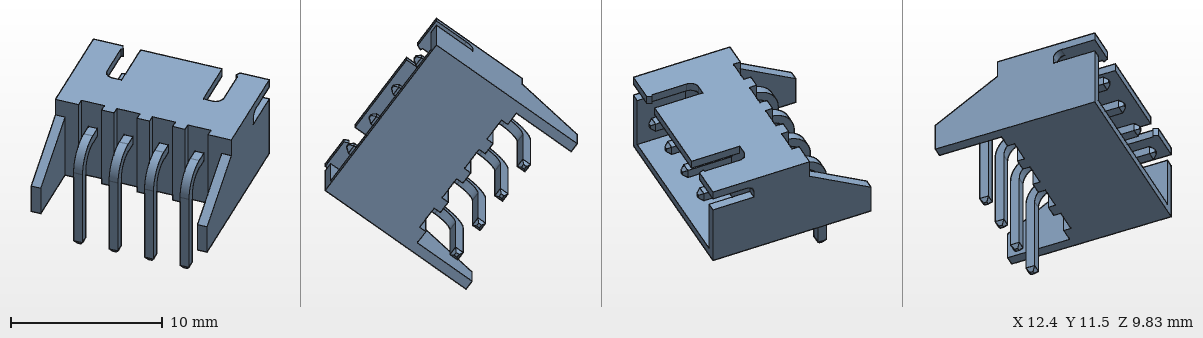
import cadquery as cq
import math


housing_width = 12.4
housing_depth = 7.02
housing_height = 6.1
wall = 0.61

wing_thickness = 0.68
wing_length = 4.48
wing_rear_height = 2.11
wing_front_height = 4.81

pin_count = 4
pin_row_length = 7.5
pin_pitch = pin_row_length / (pin_count - 1)
pin_width = 0.63
pin_axis_height = 3.76
pin_drop_setback = 1.91
pin_bend_radius = 1.56
pin_front_gap = 0.04
pin_bottom = -3.73
pin_taper_length = 0.3
pin_tip_width = 0.24

groove_width = 1.62
groove_depth = 0.51

cavity_depth = 3.5

key_slot_outer = 4.12
key_slot_width = 1.24
key_slot_corner_radius = 0.6

tooth_height = 0.15
tooth_peak_setback = 0.32
tooth_length = 0.4

window_length = 2.98
window_height = 0.98
window_corner_radius = 0.55

mouth_y = housing_depth
cavity_rear_y = mouth_y - cavity_depth
cavity_half_width = housing_width / 2 - wall
roof_underside = housing_height - wall
pin_positions = [(i - (pin_count - 1) / 2) * pin_pitch for i in range(pin_count)]


def box(x_range, y_range, z_range):
    """Axis-aligned box between the given limits."""
    size = [high - low for low, high in (x_range, y_range, z_range)]
    corner = (x_range[0], y_range[0], z_range[0])
    return cq.Workplane(cq.Solid.makeBox(*size, pnt=cq.Vector(*corner)))


def make_wing():
    """Tapering wing behind the -X side of the housing."""
    outline = [
        (0, 0),
        (-wing_length, 0),
        (-wing_length, wing_rear_height),
        (0, wing_front_height),
    ]
    wing = cq.Workplane("YZ").polyline(outline).close().extrude(wing_thickness)
    return wing.translate((-housing_width / 2, 0, 0))


def make_cavity():
    """Rectangular mating cavity, open at the housing mouth."""
    return box(
        (-cavity_half_width, cavity_half_width),
        (cavity_rear_y, mouth_y),
        (wall, roof_underside),
    )


def make_key_slot():
    """Slot through the roof on the -X side, with its outer rear corner rounded."""
    slot = box(
        (-key_slot_outer, key_slot_width - key_slot_outer),
        (cavity_rear_y, mouth_y),
        (roof_underside, housing_height),
    )
    return slot.edges("|Z and <X and <Y").fillet(key_slot_corner_radius)


def make_tooth():
    """Latch tooth on the -X key slot, with a long ramp from the mouth and a short rear flank."""
    outline = [
        (-key_slot_outer, mouth_y),
        (tooth_height - key_slot_outer, mouth_y - tooth_peak_setback),
        (-key_slot_outer, mouth_y - tooth_length),
    ]
    tooth = cq.Workplane("XY").polyline(outline).close().extrude(wall)
    return tooth.translate((0, 0, roof_underside))


def make_window():
    """Window through the -X side wall under the roof, with its upper rear corner rounded."""
    window = box(
        (-housing_width / 2, -cavity_half_width),
        (mouth_y - window_length, mouth_y),
        (roof_underside - window_height, roof_underside),
    )
    return window.edges("|X and <Y and >Z").fillet(window_corner_radius)


def both_sides(feature):
    """The -X feature together with its mirror image on the +X side."""
    return feature.add(feature.mirror("YZ")).combine()


def make_groove(x):
    """Full-height groove in the rear face behind the pin at x."""
    half_width = groove_width / 2
    return box((x - half_width, x + half_width), (0, groove_depth), (0, housing_height))


def make_tip(direction, y, z):
    """Square taper at the end of a pin leg, pointing along direction from (y, z)."""
    base = cq.Workplane(cq.Plane(origin=(0, y, z), xDir=(1, 0, 0), normal=direction))
    sections = base.rect(pin_width, pin_width).workplane(offset=pin_taper_length)
    return sections.rect(pin_tip_width, pin_tip_width).loft(ruled=True)


def make_pin(x):
    """Square pin at x: horizontal leg, quarter bend, vertical leg, both tips tapered."""
    front_y = mouth_y - pin_front_gap - pin_taper_length
    bottom_z = pin_bottom + pin_taper_length
    leg_y = -pin_drop_setback
    bend_start_y = leg_y + pin_bend_radius
    bend_end_z = pin_axis_height - pin_bend_radius
    bend_mid = (
        bend_start_y - pin_bend_radius * math.sin(math.pi / 4),
        bend_end_z + pin_bend_radius * math.cos(math.pi / 4),
    )
    path = (
        cq.Workplane("YZ")
        .moveTo(front_y, pin_axis_height)
        .lineTo(bend_start_y, pin_axis_height)
        .threePointArc(bend_mid, (leg_y, bend_end_z))
        .lineTo(leg_y, bottom_z)
    )
    pin = (
        cq.Workplane("XZ", origin=(0, front_y, pin_axis_height))
        .rect(pin_width, pin_width)
        .sweep(path)
    )
    pin = pin.union(make_tip((0, 1, 0), front_y, pin_axis_height))
    pin = pin.union(make_tip((0, 0, -1), leg_y, bottom_z))
    return pin.translate((x, 0, 0)).solids()


def make_housing(pins):
    """Housing with its wings, openings and a fitting hole for each pin."""
    housing = box((-housing_width / 2, housing_width / 2), (0, mouth_y), (0, housing_height))
    housing = housing.union(both_sides(make_wing()))
    housing = housing.cut(make_cavity())
    housing = housing.cut(both_sides(make_key_slot()))
    housing = housing.cut(both_sides(make_window()))
    housing = housing.union(both_sides(make_tooth()))
    for x in pin_positions:
        housing = housing.cut(make_groove(x))
    for pin in pins:
        housing = housing.cut(pin)
    return housing.solids()


pins = [make_pin(x) for x in pin_positions]
housing = make_housing(pins)

result = cq.Compound.makeCompound([housing.val(), *[pin.val() for pin in pins]])